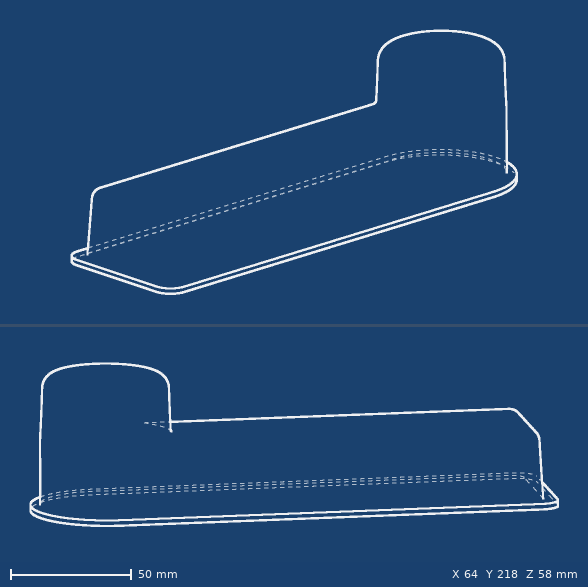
import cadquery as cq
import math

total_length = 218.0
flange_width = 64.0
flange_thickness = 2.5
flange_corner_radius = 8.0
flange_radius = flange_width / 2
flange_front_y = flange_radius - total_length

total_height = 58.0
tower_y = 0.7
tower_radius = 27.3
tower_straight_top_z = 30.3
tower_top_radius = 26.2
tower_edge_radius = 6.0

arm_base_width = 53.6
arm_front_margin = 5.9
arm_top_z = 32.0
arm_draft_angle = 3.0
arm_edge_radius = 5.0
arm_front_y = flange_front_y + arm_front_margin

tower_arm_fillet = 2.2
base_fillet = 0.5


def make_flange():
    plate = (
        cq.Workplane("XY")
        .moveTo(-flange_radius, 0)
        .threePointArc((0, flange_radius), (flange_radius, 0))
        .lineTo(flange_radius, flange_front_y)
        .lineTo(-flange_radius, flange_front_y)
        .close()
        .extrude(flange_thickness)
    )
    return plate.edges("|Z and <Y").fillet(flange_corner_radius)


def make_tower():
    profile = (
        cq.Workplane("XZ", origin=(0, tower_y, 0))
        .lineTo(tower_radius, 0)
        .lineTo(tower_radius, tower_straight_top_z)
        .lineTo(tower_top_radius, total_height)
        .lineTo(0, total_height)
        .close()
    )
    tower = profile.revolve(360, (0, 0, 0), (0, 1, 0))
    return tower.faces(">Z").edges().fillet(tower_edge_radius)


def make_arm():
    height = arm_top_z - flange_thickness
    inset = height * math.tan(math.radians(arm_draft_angle))
    half_base = arm_base_width / 2
    half_top = half_base - inset
    arm = (
        cq.Workplane("XZ", origin=(0, tower_y, 0))
        .moveTo(-half_base, flange_thickness)
        .lineTo(half_base, flange_thickness)
        .lineTo(half_top, arm_top_z)
        .lineTo(-half_top, arm_top_z)
        .close()
        .extrude(tower_y - arm_front_y)
    )
    front_wedge = (
        cq.Workplane("YZ")
        .moveTo(arm_front_y, flange_thickness)
        .lineTo(arm_front_y + inset, arm_top_z)
        .lineTo(arm_front_y, arm_top_z)
        .close()
        .extrude(half_base, both=True)
    )
    arm = arm.cut(front_wedge)
    long_edges = arm.faces(">Z").edges("|Y")
    front_top_edge = arm.faces(">Z").edges("<Y")
    front_corners = arm.edges("not(#X or #Y or #Z)").edges("<Y")
    return long_edges.add(front_top_edge).add(front_corners).fillet(arm_edge_radius)


def edges_where_tower_meets_arm(body):
    shoulder_z = arm_top_z - arm_edge_radius
    joint_depth = tower_radius + tower_arm_fillet
    joint_zone = cq.selectors.BoxSelector(
        (-tower_radius, tower_y - joint_depth, shoulder_z),
        (tower_radius, tower_y - tower_arm_fillet, arm_top_z + tower_arm_fillet),
    )
    return body.edges(joint_zone).edges("not(|X or |Y)")


def edges_around_base(body):
    margin = base_fillet
    inside_flange = cq.selectors.BoxSelector(
        (-tower_radius - margin, arm_front_y - margin, flange_thickness - margin),
        (tower_radius + margin, tower_y + tower_radius + margin, flange_thickness + margin),
        boundingbox=True,
    )
    return body.edges(inside_flange)


body = make_tower().union(make_arm())
body = edges_where_tower_meets_arm(body).fillet(tower_arm_fillet)
body = body.union(make_flange())
result = edges_around_base(body).fillet(base_fillet)